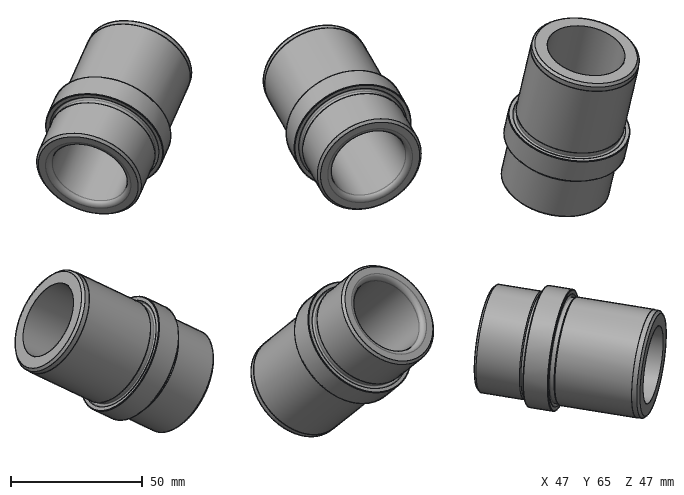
import cadquery as cq
import math

length = 65.0
body_radius = 41.8 / 2
bore_radius = 30.0 / 2
collar_radius = 47.0 / 2

front_length = 20.0
collar_width = 9.9
collar_chamfer = 0.25

groove_width = 2.0
groove_depth = 0.45
groove_slope = 0.45

undercut_edge_radius = 21.8
undercut_round = 0.5

end_chamfer = 1.0
bore_round = 2.0
pilot_length = 3.0
pilot_relief = 0.1

front = -length / 2
back = length / 2
collar_front = front + front_length
collar_back = collar_front + collar_width
groove_radius = body_radius - groove_depth

root_center_radius = groove_radius + undercut_round
root_offset = undercut_round * math.sqrt(0.5)
wall_radius = root_center_radius + root_offset
wall_depth = undercut_edge_radius - wall_radius
root_depth = wall_depth - root_offset
root_bottom = root_depth + undercut_round

pilot_radius = body_radius - pilot_relief
pilot_start = back - pilot_length


def revolved_body():
    """Revolve the wall section, drawn as (radius, axial position)."""
    profile = (
        cq.Workplane("XY")
        .moveTo(bore_radius + bore_round, front)
        .lineTo(body_radius - end_chamfer, front)
        .lineTo(body_radius, front + end_chamfer)
        .lineTo(body_radius, collar_front - groove_width)
        .lineTo(groove_radius, collar_front - groove_width + groove_slope)
        .lineTo(groove_radius, collar_front + root_depth)
        .threePointArc(
            (root_center_radius, collar_front + root_bottom),
            (wall_radius, collar_front + wall_depth),
        )
        .lineTo(undercut_edge_radius, collar_front)
        .lineTo(collar_radius - collar_chamfer, collar_front)
        .lineTo(collar_radius, collar_front + collar_chamfer)
        .lineTo(collar_radius, collar_back - collar_chamfer)
        .lineTo(collar_radius - collar_chamfer, collar_back)
        .lineTo(undercut_edge_radius, collar_back)
        .lineTo(wall_radius, collar_back - wall_depth)
        .threePointArc(
            (root_center_radius, collar_back - root_bottom),
            (groove_radius, collar_back - root_depth),
        )
        .lineTo(groove_radius, collar_back + groove_width - groove_slope)
        .lineTo(body_radius, collar_back + groove_width)
        .lineTo(body_radius, pilot_start)
        .lineTo(pilot_radius, pilot_start)
        .lineTo(pilot_radius, back - end_chamfer)
        .lineTo(pilot_radius - end_chamfer, back)
        .lineTo(bore_radius, back)
        .lineTo(bore_radius, front + bore_round)
        .radiusArc((bore_radius + bore_round, front), -bore_round)
        .close()
    )
    return profile.revolve(360, (0, 0, 0), (0, 1, 0))


result = revolved_body()